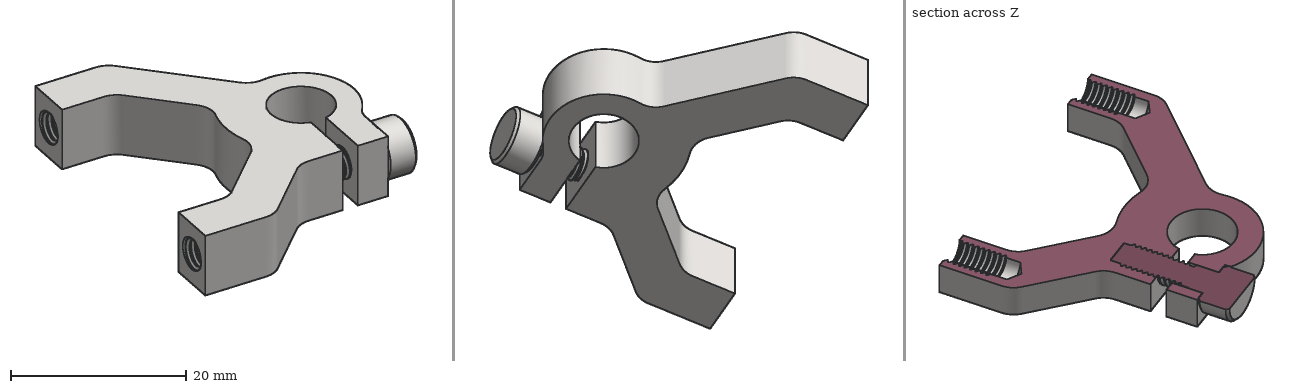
import cadquery as cq
import math

THICKNESS = 8.0
RING_Y = 24.0
BORE_RADIUS = 4.0
RING_RADIUS = 7.0
BELLY_RADIUS = 10.0
CORNER_RADIUS = 3.0

EAR_END_X = 11.0
EAR_TOP_Y = 29.0
SLIT_WIDTH = 2.0

ARM_ANGLE = 45.0
FOOT_OUTER_X = 19.0
ARM_WIDTH = 6.0
FOOT_INNER_X = FOOT_OUTER_X - ARM_WIDTH
SHOULDER_Y = 9.25
KNEE_Y = SHOULDER_Y - ARM_WIDTH * math.tan(math.radians(ARM_ANGLE / 2))

THREAD_RADIUS = 2.0
CORE_RADIUS = 1.65
THREAD_PITCH = 0.7
RIDGE_ROOT_WIDTH = 0.66
RIDGE_CREST_WIDTH = 0.09
RIDGE_OVERLAP = 0.05

FOOT_HOLE_X = (FOOT_OUTER_X + FOOT_INNER_X) / 2
FOOT_MOUTH_RADIUS = 2.05
FOOT_THREAD_DEPTH = 6.0
FOOT_DRILL_DEPTH = 8.0
DRILL_POINT_ANGLE = 118.0

HEAD_RADIUS = 3.5
HEAD_HEIGHT = 4.0
HEAD_CHAMFER = 0.35
SCREW_X = 7.55
SCREW_LENGTH = 12.0
PLAIN_SHANK_LENGTH = 3.0
SCREW_THREAD_START = 0.82
SCREW_THREAD_LENGTH = 8.0


def cylinder_along_y(radius, x, start_y, length):
    """Solid cylinder growing toward +Y from start_y."""
    base = cq.Vector(x, start_y, 0)
    return cq.Workplane(cq.Solid.makeCylinder(radius, length, base, cq.Vector(0, 1, 0)))


def cone_along_y(start_radius, end_radius, x, start_y, length):
    """Solid cone growing toward +Y from start_y."""
    base = cq.Vector(x, start_y, 0)
    return cq.Workplane(
        cq.Solid.makeCone(start_radius, end_radius, length, base, cq.Vector(0, 1, 0))
    )


def thread_ridge(x, start_y, length):
    """Right-hand helical ridge around an axis parallel to Y."""
    root_radius = CORE_RADIUS - RIDGE_OVERLAP
    path = cq.Wire.makeHelix(THREAD_PITCH, length, root_radius)
    ridge = (
        cq.Workplane("XZ")
        .moveTo(root_radius, -RIDGE_ROOT_WIDTH / 2)
        .lineTo(root_radius, RIDGE_ROOT_WIDTH / 2)
        .lineTo(THREAD_RADIUS, RIDGE_CREST_WIDTH / 2)
        .lineTo(THREAD_RADIUS, -RIDGE_CREST_WIDTH / 2)
        .close()
        .sweep(cq.Workplane(path), isFrenet=True)
    )
    return ridge.rotate((0, 0, 0), (1, 0, 0), -90).translate((x, start_y, 0))


def arm_meets_circle(radius, corner_x, corner_y):
    """Point, on the +X side, where an arm edge rising from a corner enters a circle about the bore."""
    rise = corner_x + corner_y - RING_Y
    x = (rise + math.sqrt(2 * radius**2 - rise**2)) / 2
    return x, RING_Y + rise - x


def mirrored(point):
    return -point[0], point[1]


def make_clamp_blank():
    """Solid outline of ring, ears, arms and feet with rounded corners."""
    ring_join = mirrored(arm_meets_circle(RING_RADIUS, FOOT_OUTER_X, SHOULDER_Y))
    ear_join = (math.sqrt(RING_RADIUS**2 - (EAR_TOP_Y - RING_Y) ** 2), EAR_TOP_Y)
    ear_foot = (EAR_END_X, SHOULDER_Y + FOOT_OUTER_X - EAR_END_X)
    belly_join = arm_meets_circle(BELLY_RADIUS, FOOT_INNER_X, KNEE_Y)
    shoulder = (FOOT_OUTER_X, SHOULDER_Y)
    knee = (FOOT_INNER_X, KNEE_Y)

    blank = (
        cq.Workplane("XY")
        .workplane(offset=-THICKNESS / 2)
        .moveTo(-FOOT_OUTER_X, 0)
        .lineTo(*mirrored(shoulder))
        .lineTo(*ring_join)
        .threePointArc((0, RING_Y + RING_RADIUS), ear_join)
        .lineTo(EAR_END_X, EAR_TOP_Y)
        .lineTo(*ear_foot)
        .lineTo(*shoulder)
        .lineTo(FOOT_OUTER_X, 0)
        .lineTo(FOOT_INNER_X, 0)
        .lineTo(*knee)
        .lineTo(*belly_join)
        .threePointArc((0, RING_Y - BELLY_RADIUS), mirrored(belly_join))
        .lineTo(*mirrored(knee))
        .lineTo(-FOOT_INNER_X, 0)
        .close()
        .extrude(THICKNESS)
    )
    rounded = [
        mirrored(shoulder), ring_join, ear_join, ear_foot, shoulder,
        knee, belly_join, mirrored(belly_join), mirrored(knee),
    ]
    for x, y in rounded:
        corner = cq.selectors.NearestToPointSelector((x, y, 0))
        blank = blank.edges("|Z").edges(corner).fillet(CORNER_RADIUS)
    return blank


def make_foot_hole(x):
    """Blind drilled hole with a conical end, a thread and a chamfered mouth."""
    point_length = CORE_RADIUS / math.tan(math.radians(DRILL_POINT_ANGLE / 2))
    drill = cylinder_along_y(CORE_RADIUS, x, 0, FOOT_DRILL_DEPTH)
    drill_point = cone_along_y(CORE_RADIUS, 0, x, FOOT_DRILL_DEPTH, point_length)
    mouth = cone_along_y(FOOT_MOUTH_RADIUS, CORE_RADIUS, x, 0, FOOT_MOUTH_RADIUS - CORE_RADIUS)
    thread = thread_ridge(x, -THREAD_PITCH, FOOT_THREAD_DEPTH + THREAD_PITCH)
    return drill.union(drill_point).union(mouth).union(thread)


def make_screw():
    """Cylinder-head screw with a plain shank under the head and a threaded end."""
    tip_y = EAR_TOP_Y - SCREW_LENGTH
    head = cylinder_along_y(HEAD_RADIUS, SCREW_X, EAR_TOP_Y, HEAD_HEIGHT)
    head = head.faces("<Y or >Y").chamfer(HEAD_CHAMFER)
    shank = cylinder_along_y(
        THREAD_RADIUS, SCREW_X, EAR_TOP_Y - PLAIN_SHANK_LENGTH, PLAIN_SHANK_LENGTH
    )
    core = cylinder_along_y(CORE_RADIUS, SCREW_X, tip_y, SCREW_LENGTH)
    thread = thread_ridge(SCREW_X, tip_y + SCREW_THREAD_START, SCREW_THREAD_LENGTH)
    return head.union(shank).union(core).union(thread)


def make_clamp(screw):
    """Clamp body, bored, slit and fitted around the screw."""
    clamp = make_clamp_blank()
    bore = (
        cq.Workplane("XY")
        .center(0, RING_Y)
        .circle(BORE_RADIUS)
        .extrude(THICKNESS / 2, both=True)
    )
    slit = (
        cq.Workplane("XY")
        .box(EAR_END_X, SLIT_WIDTH, THICKNESS, centered=(False, True, True))
        .translate((0, RING_Y, 0))
    )
    clamp = clamp.cut(bore).cut(slit)

    head_recess = cylinder_along_y(HEAD_RADIUS, SCREW_X, EAR_TOP_Y, HEAD_HEIGHT)
    upper_hole = cylinder_along_y(THREAD_RADIUS, SCREW_X, RING_Y, EAR_TOP_Y - RING_Y)
    clamp = clamp.cut(head_recess).cut(upper_hole).cut(screw)

    for x in (-FOOT_HOLE_X, FOOT_HOLE_X):
        clamp = clamp.cut(make_foot_hole(x))
    return clamp


screw = make_screw()
clamp = make_clamp(screw)

result = cq.Compound.makeCompound([clamp.solids().val(), screw.solids().val()])